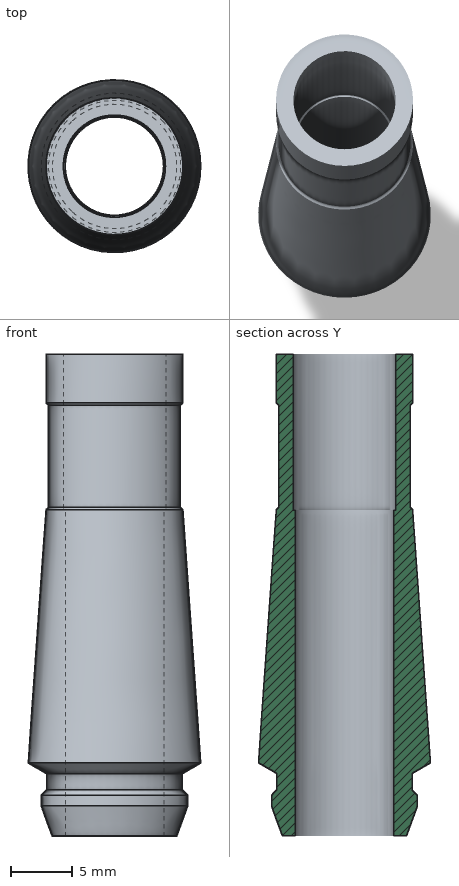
import cadquery as cq

total_height = 39.4
nose_height = 2.5
lip_band_height = 3.35
groove_top = 5.12
flare_height = 6.0
body_top = 26.67
collar_bottom = 35.42

nose_end_radius = 5.1
lip_radius = 6.0
groove_radius = 5.55
flare_radius = 7.05
collar_radius = 5.6
neck_radius = 5.4

bore_lower_radius = 4.0
bore_upper_radius = 4.18
bore_step_height = body_top

lip_top = lip_band_height + lip_radius - groove_radius
neck_step = collar_radius - neck_radius


def make_outer_body():
    """Revolve the outer profile about the Z axis."""
    profile = (
        cq.Workplane("XZ")
        .lineTo(nose_end_radius, 0)
        .lineTo(lip_radius, nose_height)
        .lineTo(lip_radius, lip_band_height)
        .lineTo(groove_radius, lip_top)
        .lineTo(groove_radius, groove_top)
        .lineTo(flare_radius, flare_height)
        .lineTo(collar_radius, body_top)
        .lineTo(neck_radius, body_top + neck_step)
        .lineTo(neck_radius, collar_bottom - neck_step)
        .lineTo(collar_radius, collar_bottom)
        .lineTo(collar_radius, total_height)
        .lineTo(0, total_height)
        .close()
    )
    return profile.revolve(360, (0, 0, 0), (0, 1, 0))


def make_bore():
    """Stepped through bore on the Z axis."""
    lower = cq.Workplane("XY").circle(bore_lower_radius).extrude(total_height)
    upper = (
        cq.Workplane("XY")
        .workplane(offset=bore_step_height)
        .circle(bore_upper_radius)
        .extrude(total_height - bore_step_height)
    )
    return lower.union(upper)


result = make_outer_body().cut(make_bore())